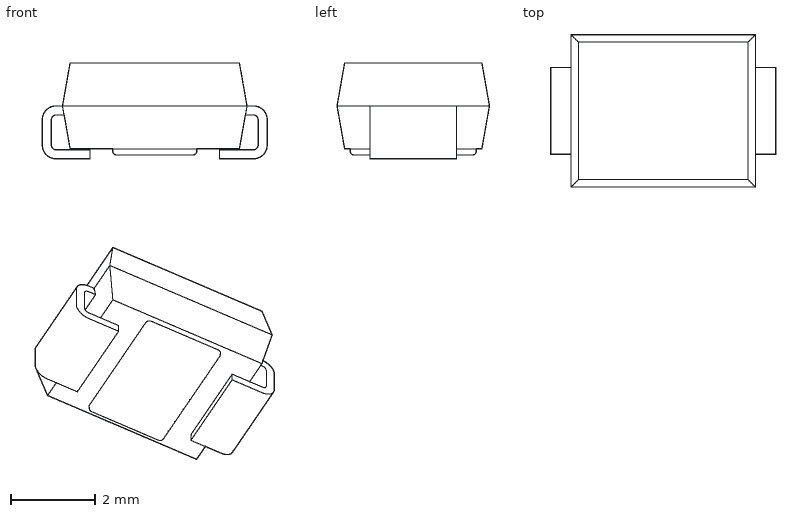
import cadquery as cq
import math

body_length = 4.38
body_width = 3.62
half_height = 1.02
draft_angle = 10.0
body_bottom = 0.24
parting_z = body_bottom + half_height
body_top = parting_z + half_height

lead_span = 5.34
lead_width = 2.06
lead_thickness = 0.22
bend_outer_radius = 0.33
bend_inner_radius = bend_outer_radius - lead_thickness
foot_length = 1.14
lead_embed = 0.3

pad_length = 2.0
pad_width = 3.0
pad_height = 0.15
pad_rounding = 0.1

band_width = 0.2
band_center_x = 1.61
band_depth = 0.02


def make_body():
    """Two drafted halves, widest at the parting plane."""
    upper = (
        cq.Workplane("XY")
        .workplane(offset=parting_z)
        .rect(body_length, body_width)
        .extrude(half_height, taper=draft_angle)
    )
    lower = upper.mirror("XY", (0, 0, parting_z))
    return upper.union(lower)


def make_left_lead():
    """Strip leaving the body below the parting plane and folded back under it."""
    outer_x = -lead_span / 2
    inner_x = outer_x + lead_thickness
    foot_end_x = outer_x + foot_length
    inner_end_x = -body_length / 2 + lead_embed
    inside_bottom = lead_thickness
    inside_top = parting_z - lead_thickness
    outside = (
        cq.Workplane("XZ")
        .moveTo(inner_end_x, parting_z)
        .lineTo(outer_x + bend_outer_radius, parting_z)
        .radiusArc((outer_x, parting_z - bend_outer_radius), -bend_outer_radius)
        .lineTo(outer_x, bend_outer_radius)
        .radiusArc((outer_x + bend_outer_radius, 0), -bend_outer_radius)
        .lineTo(foot_end_x, 0)
    )
    profile = (
        outside
        .lineTo(foot_end_x, inside_bottom)
        .lineTo(inner_x + bend_inner_radius, inside_bottom)
        .radiusArc((inner_x, inside_bottom + bend_inner_radius), bend_inner_radius)
        .lineTo(inner_x, inside_top - bend_inner_radius)
        .radiusArc((inner_x + bend_inner_radius, inside_top), bend_inner_radius)
        .lineTo(inner_end_x, inside_top)
        .close()
    )
    return profile.extrude(lead_width / 2, both=True)


def make_pad():
    """Flat pad with rounded corners and a rounded lower edge."""
    pad = (
        cq.Workplane("XY")
        .workplane(offset=body_bottom - pad_height)
        .rect(pad_length, pad_width)
        .extrude(pad_height)
    )
    return pad.edges("|Z or <Z").fillet(pad_rounding)


def add_polarity_band(part):
    """Inlay a strip flush with the top face, keeping its two long edges."""
    top_inset = half_height * math.tan(math.radians(draft_angle))
    band = (
        cq.Workplane("XY")
        .workplane(offset=body_top)
        .center(band_center_x, 0)
        .rect(band_width, body_width - 2 * top_inset)
        .extrude(-band_depth)
    )
    return part.union(band, clean=False)


left_lead = make_left_lead()
right_lead = left_lead.mirror("YZ")
diode = make_body().union(left_lead).union(right_lead).union(make_pad())
result = add_polarity_band(diode)